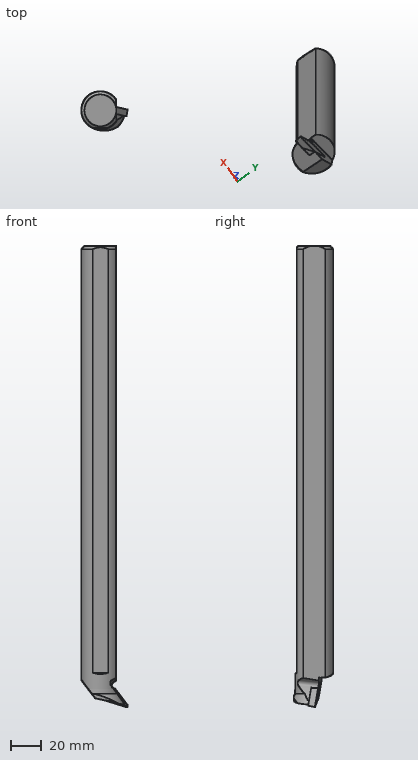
import cadquery as cq
import math

LENGTH = 301.2
BAR_RADIUS = 12.5
TOP_CHAMFER = 2.0

SIDE_FLAT_X = 10.2
FRONT_FLAT_Y = -11.5
FRONT_FLAT_BOTTOM = 22.5

FLARE_TOP = 11.7
FLARE_BREAK = 8.7
FLARE_BREAK_RADIUS = 12.7
FLARE_BASE_RADIUS = 17.0
CLEARANCE_CENTER = (2.5, 2.7)
CLEARANCE_RADIUS = 16.12

HEEL_TOP = (-BAR_RADIUS, 17.8)
HEEL_BOTTOM = (-3.3, 5.7)
HEAD_TIP = (16.3, 1.5)

NOTCH_RADIUS = 2.25
NOTCH_CENTER = (9.5, 14.5)
NOTCH_LIP_ANGLE = 35.0
NOTCH_END_ANGLE = 45.0
HEAD_SHOULDER = (9.0, 11.7)

RAKE_TURN = 5.0
RAKE_LEAN = 6.0
TIP_Y = 0.5
NOSE_RADIUS = 1.0
NOSE_X = 17.92 - NOSE_RADIUS
INSERT_EDGE = 16.5
INSERT_THICKNESS = 4.5
INSERT_TIP_ANGLE = 35.0
CUTTING_EDGE_ANGLE = 18.0
CLEARANCE_ANGLE = 5.0

POCKET_END_Z = 19.3

REACH = 60.2


def polar(length, angle):
    """Vector of the given length, at an angle in degrees."""
    return (length * math.cos(math.radians(angle)), length * math.sin(math.radians(angle)))


def shifted(point, step):
    return (point[0] + step[0], point[1] + step[1])


def rake_workplane():
    """Top face of the insert: origin at the nose center, local x toward -X and normal toward +Y."""
    upright = cq.Plane(origin=(NOSE_X, TIP_Y, NOSE_RADIUS), xDir=(-1, 0, 0), normal=(0, 1, 0))
    return cq.Workplane(upright.rotated((RAKE_LEAN, -RAKE_TURN, 0)))


def make_insert():
    """Rhombus with both acute corners rounded and its flanks drawn in by the clearance angle."""
    lower_angle = CUTTING_EDGE_ANGLE
    upper_angle = lower_angle + INSERT_TIP_ANGLE
    axis_angle = (lower_angle + upper_angle) / 2
    half_angle = INSERT_TIP_ANGLE / 2
    nose_setback = NOSE_RADIUS / math.sin(math.radians(half_angle))
    sharp_tip = polar(-nose_setback, axis_angle)
    lower_corner = shifted(sharp_tip, polar(INSERT_EDGE, lower_angle))
    upper_corner = shifted(sharp_tip, polar(INSERT_EDGE, upper_angle))
    long_diagonal = 2 * INSERT_EDGE * math.cos(math.radians(half_angle))
    back_center = polar(long_diagonal - 2 * nose_setback, axis_angle)
    nose_lower = polar(NOSE_RADIUS, lower_angle - 90)
    nose_upper = polar(NOSE_RADIUS, upper_angle + 90)
    nose_front = polar(-NOSE_RADIUS, axis_angle)
    back_lower = shifted(back_center, polar(NOSE_RADIUS, upper_angle - 90))
    back_middle = shifted(back_center, polar(NOSE_RADIUS, axis_angle))
    back_upper = shifted(back_center, polar(NOSE_RADIUS, lower_angle + 90))
    return (
        rake_workplane()
        .moveTo(*nose_lower)
        .lineTo(*lower_corner)
        .lineTo(*back_lower)
        .threePointArc(back_middle, back_upper)
        .lineTo(*upper_corner)
        .lineTo(*nose_upper)
        .threePointArc(nose_front, nose_lower)
        .close()
        .extrude(-INSERT_THICKNESS, taper=CLEARANCE_ANGLE)
    )


def through_y(outline):
    """Prism through the whole bar along Y, from an outline in the XZ plane."""
    return outline.close().extrude(REACH, both=True)


def square_to_rake(cutter):
    """Turn a prism that runs along Y about the nose center, so that it runs square to the rake plane."""
    pivot = cq.Vector(NOSE_X, TIP_Y, NOSE_RADIUS)
    leaned = cutter.rotate(pivot, pivot + cq.Vector(3, 0, 0), -RAKE_LEAN)
    return leaned.rotate(pivot, pivot + cq.Vector(0, 0, 3), -RAKE_TURN)


def bar_blank():
    """Round shank with a chamfered top, joined to the flared skirt of the head."""
    shank = cq.Workplane("XY").circle(BAR_RADIUS).extrude(LENGTH).faces(">Z").chamfer(TOP_CHAMFER)
    flare = (
        cq.Workplane("XZ")
        .polyline(
            [
                (0, 0),
                (FLARE_BASE_RADIUS, 0),
                (FLARE_BREAK_RADIUS, FLARE_BREAK),
                (BAR_RADIUS, FLARE_TOP),
                (0, FLARE_TOP),
            ]
        )
        .close()
        .revolve(360, (0, 0), (0, 1))
    )
    clearance = (
        cq.Workplane("XY").center(*CLEARANCE_CENTER).circle(CLEARANCE_RADIUS).extrude(FLARE_TOP)
    )
    return shank.union(flare.intersect(clearance))


def side_flat():
    """Flat on the +X side, from the notch to the top."""
    start_z = NOTCH_CENTER[1]
    return (
        cq.Workplane("XY", origin=(SIDE_FLAT_X + REACH / 2, 0, start_z))
        .rect(REACH, REACH)
        .extrude(LENGTH - start_z)
    )


def front_flat():
    """Flat on the -Y side, running out at its lower end at 45 degrees."""
    depth = BAR_RADIUS + FRONT_FLAT_Y
    outline = [
        (FRONT_FLAT_Y, FRONT_FLAT_BOTTOM),
        (FRONT_FLAT_Y, LENGTH),
        (-BAR_RADIUS, LENGTH),
        (-BAR_RADIUS, FRONT_FLAT_BOTTOM - depth),
    ]
    return cq.Workplane("YZ").polyline(outline).close().extrude(REACH, both=True)


def underside_relief():
    """Space below the heel and the underside of the head."""
    return through_y(
        cq.Workplane("XZ").polyline(
            [
                (-REACH, HEEL_TOP[1]),
                HEEL_TOP,
                HEEL_BOTTOM,
                HEAD_TIP,
                (REACH, -REACH),
                (-REACH, -REACH),
            ]
        )
    )


def notch_relief():
    """Space outside the head: a round notch, its lip above and the sloping shoulder below."""
    lip_start = shifted(NOTCH_CENTER, polar(NOTCH_RADIUS, NOTCH_LIP_ANGLE + 90))
    notch_left = shifted(NOTCH_CENTER, (-NOTCH_RADIUS, 0))
    notch_bottom = shifted(NOTCH_CENTER, polar(-NOTCH_RADIUS, NOTCH_END_ANGLE))
    outline = (
        cq.Workplane("XZ")
        .moveTo(*lip_start)
        .threePointArc(notch_left, notch_bottom)
        .lineTo(*HEAD_SHOULDER)
        .lineTo(*HEAD_TIP)
        .lineTo(HEAD_TIP[0], -REACH)
        .lineTo(REACH, -REACH)
        .lineTo(*shifted(lip_start, polar(REACH, NOTCH_LIP_ANGLE)))
    )
    return square_to_rake(through_y(outline))


def chip_pocket():
    """Space in front of the rake plane, ending above at a wall parallel to the cutting edge."""
    slope = math.tan(math.radians(CUTTING_EDGE_ANGLE))
    below_wall = through_y(
        cq.Workplane("XZ").polyline(
            [
                (SIDE_FLAT_X - REACH, POCKET_END_Z + REACH * slope),
                (SIDE_FLAT_X + REACH, POCKET_END_Z - REACH * slope),
                (SIDE_FLAT_X + REACH, -REACH),
                (SIDE_FLAT_X - REACH, -REACH),
            ]
        )
    )
    before_rake = rake_workplane().rect(4 * REACH, 4 * REACH).extrude(REACH)
    return below_wall.intersect(before_rake)


def make_bar(insert):
    bar = bar_blank()
    for cutter in (side_flat(), front_flat(), underside_relief(), notch_relief(), chip_pocket()):
        bar = bar.cut(cutter)
    return bar.cut(insert)


insert = make_insert()
bar = make_bar(insert)
result = cq.Compound.makeCompound([bar.val(), insert.val()])